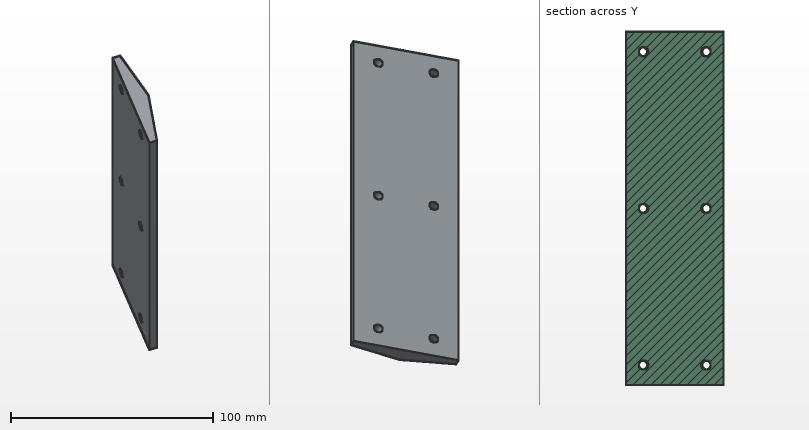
import cadquery as cq
import math

length = 175.0
width = 55.0
ridge_thickness = 9.3
edge_thickness = 4.0

hole_diameter = 4.4
hole_offset_x = 14.5
hole_pitch_z = 77.5
hole_rows = (-hole_pitch_z, 0, hole_pitch_z)

half_width = width / 2
half_length = length / 2
slope_angle = math.atan2(ridge_thickness - edge_thickness, half_width)


def make_plate():
    profile = [
        (-half_width, 0),
        (half_width, 0),
        (half_width, edge_thickness),
        (0, ridge_thickness),
        (-half_width, edge_thickness),
    ]
    return cq.Workplane("XY").polyline(profile).close().extrude(length).translate((0, 0, -half_length))


def make_hole(side, z):
    """Cylinder through the plate, leaning outward towards the back; side is -1 or 1."""
    axis = cq.Vector(side * math.sin(slope_angle), math.cos(slope_angle), 0)
    entry = cq.Vector(side * hole_offset_x, 0, z)
    start = entry - axis * ridge_thickness
    return cq.Solid.makeCylinder(hole_diameter / 2, 3 * ridge_thickness, start, axis)


result = make_plate()
for side in (-1, 1):
    for z in hole_rows:
        result = result.cut(cq.Workplane(obj=make_hole(side, z)))